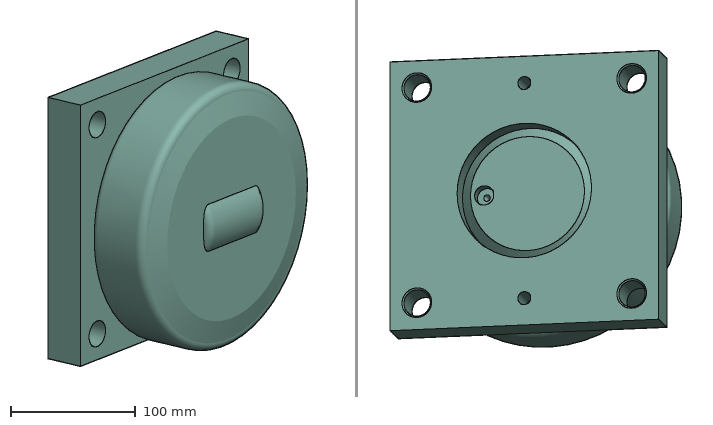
import cadquery as cq

plate_side = 220.0
plate_thickness = 33.0
hole_offset = 88.0
bolt_hole_diameter = 21.5
bolt_hole_chamfer = 1.3
pin_hole_diameter = 10.5

recess_radius = 55.0
pad_radius = 46.6
recess_depth = 12.3
pad_chamfer_depth = 8.4
grease_hole_offset = 35.5
grease_hole_diameter = 15.6
grease_hole_depth = 11.0
grease_cone_radius = 2.6
grease_cone_depth = 4.5

neck_radius = 73.0
roller_radius = 110.0
roller_start = 43.3
roller_end = 101.2
roller_edge_radius = 6.8
bevel_start = 96.1
bevel_outer_radius = roller_radius - roller_edge_radius
bevel_inner_radius = 84.0

overall_length = 107.5
side_roller_radius = 33.9
side_roller_length = 74.1
side_roller_edge_radius = 6.5


def make_plate():
    return cq.Workplane("YZ").rect(plate_side, plate_side).extrude(plate_thickness)


def make_main_roller():
    """Neck and roller as one turned body; the profile's Y is the radius."""
    rear_round_end = roller_start + roller_edge_radius
    front_round_start = bevel_start - roller_edge_radius
    profile = (
        cq.Workplane("XY")
        .moveTo(plate_thickness, 0)
        .lineTo(plate_thickness, neck_radius)
        .lineTo(roller_start, neck_radius)
        .lineTo(roller_start, roller_radius - roller_edge_radius)
        .radiusArc((rear_round_end, roller_radius), roller_edge_radius)
        .lineTo(front_round_start, roller_radius)
        .radiusArc((bevel_start, bevel_outer_radius), roller_edge_radius)
        .lineTo(roller_end, bevel_inner_radius)
        .lineTo(roller_end, 0)
        .close()
    )
    return profile.revolve(360, (0, 0, 0), (1, 0, 0))


def make_side_roller():
    axis_x = overall_length - side_roller_radius
    return (
        cq.Workplane("XZ")
        .center(axis_x, 0)
        .circle(side_roller_radius)
        .extrude(side_roller_length / 2, both=True)
        .edges()
        .fillet(side_roller_edge_radius)
    )


def make_recess():
    """Straight-walled cutter that leaves a chamfered pad standing on its floor."""
    return (
        cq.Workplane("XY")
        .polyline([
            (0, 0),
            (0, recess_radius),
            (recess_depth + pad_chamfer_depth, recess_radius),
            (recess_depth, pad_radius),
            (recess_depth, 0),
        ])
        .close()
        .revolve(360, (0, 0, 0), (1, 0, 0))
    )


def make_grease_hole():
    """Blind hole in the sunken pad with a small conical pit at its centre."""
    hole_bottom = recess_depth + grease_hole_depth
    hole = (
        cq.Workplane("YZ", origin=(recess_depth, grease_hole_offset, 0))
        .circle(grease_hole_diameter / 2)
        .extrude(grease_hole_depth)
    )
    cone = cq.Solid.makeCone(
        grease_cone_radius,
        0,
        grease_cone_depth,
        cq.Vector(hole_bottom, grease_hole_offset, 0),
        cq.Vector(1, 0, 0),
    )
    return hole.union(cq.Workplane(obj=cone))


def make_plate_holes():
    """Cutters for the chamfered bolt holes and the two plain pin holes."""
    bolt_radius = bolt_hole_diameter / 2
    bolt_spacing = 2 * hole_offset
    bolts = (
        cq.Workplane("YZ")
        .rect(bolt_spacing, bolt_spacing, forConstruction=True)
        .vertices()
        .circle(bolt_radius)
        .extrude(plate_thickness)
    )
    chamfer = cq.Solid.makeCone(
        bolt_radius + bolt_hole_chamfer,
        bolt_radius,
        bolt_hole_chamfer,
        dir=cq.Vector(1, 0, 0),
    )
    for y in (-hole_offset, hole_offset):
        for z in (-hole_offset, hole_offset):
            bolts = bolts.union(cq.Workplane(obj=chamfer.translate(cq.Vector(0, y, z))))
    pins = (
        cq.Workplane("YZ")
        .pushPoints([(0, -hole_offset), (0, hole_offset)])
        .circle(pin_hole_diameter / 2)
        .extrude(plate_thickness)
    )
    return bolts.union(pins)


result = (
    make_plate()
    .union(make_main_roller())
    .union(make_side_roller())
    .cut(make_recess())
    .cut(make_grease_hole())
    .cut(make_plate_holes())
)